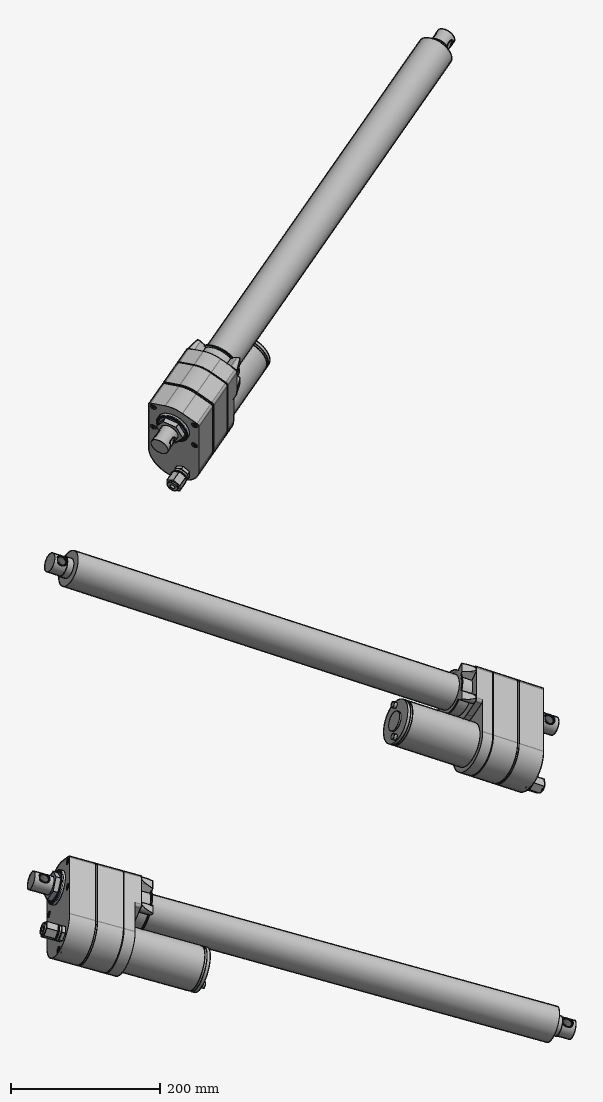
import cadquery as cq
import math

LENGTH = 790.5
REAR_REACH = 39.5
FRONT_TIP = LENGTH - REAR_REACH

HALF_WIDTH = 39.0
MOTOR_DROP = 74.0
HOUSING_LENGTH = 96.0
NOSE_END = 105.0
CROWN_SLOPE = 20.0
SHOULDER_RADIUS = 5.0
SEAM_DEPTH = 1.0
SEAMS = ((39.5, 2.0), (79.0, 1.0))

SCREW_X = 32.0
SCREW_Z = 22.0
SCREW_RECESS_DIAMETER = 9.0
SCREW_RECESS_DEPTH = 4.0
SCREW_GAP = 1.0
SCREW_SOCKET_DIAMETER = 2.7
SCREW_SOCKET_DEPTH = 2.0
LOWER_SCREW_Z = -107.5
SCREW_PLACES = (
    (-SCREW_X, SCREW_Z),
    (SCREW_X, SCREW_Z),
    (-SCREW_X, -SCREW_Z),
    (SCREW_X, -SCREW_Z),
    (0, LOWER_SCREW_Z),
)

COLLAR_END = 124.0
COLLAR_DIAMETER = 57.0
COLLAR_RIM_DIAMETER = 63.0
COLLAR_RIM_THICKNESS = 1.5
LUG_RADIUS = 6.0
LUG_BACK_HALF_WIDTH = 38.0
LUG_FRONT_HALF_WIDTH = 32.5
TUBE_DIAMETER = 50.5
TUBE_END = 722.0

MOTOR_DIAMETER = 63.0
MOTOR_END = 209.0
MOTOR_GROOVE_Y = 201.0
MOTOR_GROOVE_WIDTH = 3.0
MOTOR_GROOVE_DEPTH = 1.0
MOTOR_BOSS_DIAMETER = 28.5
MOTOR_BOSS_HEIGHT = 2.0
MOTOR_SCREW_DIAMETER = 9.0
MOTOR_SCREW_HEIGHT = 5.0
MOTOR_SCREW_OFFSET = 25.0

FLANGE_DIAMETER = 48.0
FLANGE_THICKNESS = 5.0
FLANGE_GROOVE_DIAMETER = 45.0
FLANGE_GROOVE_WIDTH = 1.5
FLANGE_GROOVE_DEPTH = 2.0
NUT_ACROSS_FLATS = 35.0
NUT_END = 12.0
REAR_EYE_DIAMETER = 26.0
REAR_EYE_HOLE_Y = -25.0
EYE_HOLE_DIAMETER = 13.0
EYE_SEAT_DIAMETER = 16.0
EYE_SEAT_DEPTH = 2.0

CONNECTOR_X = 14.0
CONNECTOR_Z = -92.0
CONNECTOR_CORE_DIAMETER = 16.0
CONNECTOR_RING_DIAMETER = 21.0
CONNECTOR_HEX_DIAMETER = 23.0
CONNECTOR_NUT_END = 5.0
CONNECTOR_RING_START = 5.5
CONNECTOR_RING_END = 9.0
CONNECTOR_BODY_START = 10.0
CONNECTOR_BODY_END = 27.0
CONNECTOR_END = 29.0
CONNECTOR_BORE_DIAMETER = 7.0
CONNECTOR_BORE_DEPTH = 8.0

ROD_DIAMETER = 28.5
ROD_COLLAR_END = 731.0
ROD_INSERTION = 39.5
ROD_EYE_DIAMETER = 27.0
ROD_EYE_HOLE_Y = 739.0

HEX_HALF_ANGLE = 30


def section_at(y):
    """Workplane across the actuator at y, with X to the right and Z up."""
    return cq.Workplane("XZ", origin=(0, y, 0))


def cylinder(x, z, diameter, y_start, y_end):
    """Cylinder along Y between two places."""
    return section_at(y_start).center(x, z).circle(diameter / 2).extrude(y_start - y_end)


def tube_ring(x, z, outer_diameter, wall, y_start, y_end):
    """Cylinder along Y with a round opening that leaves the given wall."""
    outer = cylinder(x, z, outer_diameter, y_start, y_end)
    return outer.cut(cylinder(x, z, outer_diameter - 2 * wall, y_start, y_end))


def hexagon(x, z, corner_diameter, y_start, y_end, turn=0):
    """Hexagonal prism along Y; with no turn its corners point to -X and +X."""
    sketch = section_at(y_start).center(x, z).transformed(rotate=(0, 0, turn))
    return sketch.polygon(6, corner_diameter).extrude(y_start - y_end)


def polar(centre, radius, degrees):
    """Point (x, z) at an angle measured from +X."""
    angle = math.radians(degrees)
    return (centre[0] + radius * math.cos(angle), centre[1] + radius * math.sin(angle))


def mirrored(point, x_sign, z_sign):
    return (x_sign * point[0], z_sign * point[1])


FLAT_NORMAL = 90 - CROWN_SLOPE
CROWN_END = polar((0, 0), HALF_WIDTH, FLAT_NORMAL)
CORNER_Z = CROWN_END[1] - (HALF_WIDTH - CROWN_END[0]) * math.tan(math.radians(CROWN_SLOPE))
SHOULDER_CENTRE = (
    HALF_WIDTH - SHOULDER_RADIUS,
    CORNER_Z - SHOULDER_RADIUS * math.tan(math.radians(FLAT_NORMAL / 2)),
)
SHOULDER_TOP = polar(SHOULDER_CENTRE, SHOULDER_RADIUS, FLAT_NORMAL)
SHOULDER_MIDDLE = polar(SHOULDER_CENTRE, SHOULDER_RADIUS, FLAT_NORMAL / 2)
SIDE_TOP = polar(SHOULDER_CENTRE, SHOULDER_RADIUS, 0)


def crown(sketch, x_sign, z_sign):
    """Continue an outline from one upright side over the crown to the other side.

    x_sign is the side where the crown starts; z_sign is +1 above the tube axis and -1 below it.
    """
    return (
        sketch.threePointArc(
            mirrored(SHOULDER_MIDDLE, x_sign, z_sign), mirrored(SHOULDER_TOP, x_sign, z_sign)
        )
        .lineTo(*mirrored(CROWN_END, x_sign, z_sign))
        .threePointArc((0, z_sign * HALF_WIDTH), mirrored(CROWN_END, -x_sign, z_sign))
        .lineTo(*mirrored(SHOULDER_TOP, -x_sign, z_sign))
        .threePointArc(
            mirrored(SHOULDER_MIDDLE, -x_sign, z_sign), mirrored(SIDE_TOP, -x_sign, z_sign)
        )
    )


def housing_outline(y):
    """Crown at the top, straight sides and a half round about the motor axis."""
    sketch = section_at(y).moveTo(*SIDE_TOP)
    return (
        crown(sketch, 1, 1)
        .lineTo(-HALF_WIDTH, -MOTOR_DROP)
        .threePointArc((0, -MOTOR_DROP - HALF_WIDTH), (HALF_WIDTH, -MOTOR_DROP))
        .close()
    )


def nose_prism(y_start, y_end):
    """Prism around the tube whose outline has a crown above and the same one below."""
    sketch = crown(section_at(y_start).moveTo(*SIDE_TOP), 1, 1)
    sketch = sketch.lineTo(*mirrored(SIDE_TOP, -1, -1))
    return crown(sketch, -1, -1).close().extrude(y_start - y_end)


def gear_housing():
    housing = housing_outline(0).extrude(-HOUSING_LENGTH)
    for centre, width in SEAMS:
        start = centre - width / 2
        band = housing_outline(start).extrude(-width)
        core = housing_outline(start).offset2D(-SEAM_DEPTH).extrude(-width)
        housing = housing.cut(band.cut(core))
    return housing.union(nose_prism(HOUSING_LENGTH, NOSE_END))


def screw_recess(x, z):
    """Ring gap around a housing screw head that lies flush with the rear face, and its socket."""
    gap = tube_ring(x, z, SCREW_RECESS_DIAMETER, SCREW_GAP, 0, SCREW_RECESS_DEPTH)
    return gap.union(cylinder(x, z, SCREW_SOCKET_DIAMETER, 0, SCREW_SOCKET_DEPTH))


def screw_lugs():
    """Four lugs from the collar to the screws, narrowing toward the front."""
    length = COLLAR_END - NOSE_END
    screw_radius = math.hypot(SCREW_X, SCREW_Z)
    screw_angle = math.degrees(math.atan2(SCREW_Z, SCREW_X))
    arm_length = 2 * (screw_radius + LUG_RADIUS)
    sketch = section_at(NOSE_END).transformed(rotate=(0, 0, screw_angle))
    arms = sketch.slot2D(arm_length, 2 * LUG_RADIUS).extrude(-length)
    arms = arms.union(arms.mirror("YZ"))
    taper = (
        cq.Workplane("XY")
        .polyline(
            [
                (-LUG_BACK_HALF_WIDTH, NOSE_END),
                (LUG_BACK_HALF_WIDTH, NOSE_END),
                (LUG_FRONT_HALF_WIDTH, COLLAR_END),
                (-LUG_FRONT_HALF_WIDTH, COLLAR_END),
            ]
        )
        .close()
        .extrude(HALF_WIDTH, both=True)
    )
    return arms.intersect(taper).intersect(nose_prism(NOSE_END, COLLAR_END))


def collar():
    rim_start = COLLAR_END - COLLAR_RIM_THICKNESS
    core = cylinder(0, 0, COLLAR_DIAMETER, NOSE_END, COLLAR_END)
    rim = cylinder(0, 0, COLLAR_RIM_DIAMETER, rim_start, COLLAR_END)
    return core.union(rim).union(screw_lugs())


def motor():
    z = -MOTOR_DROP
    body = cylinder(0, z, MOTOR_DIAMETER, HOUSING_LENGTH, MOTOR_END)
    groove_end = MOTOR_GROOVE_Y + MOTOR_GROOVE_WIDTH
    body = body.cut(
        tube_ring(0, z, MOTOR_DIAMETER, MOTOR_GROOVE_DEPTH, MOTOR_GROOVE_Y, groove_end)
    )
    boss_end = MOTOR_END + MOTOR_BOSS_HEIGHT
    body = body.union(cylinder(0, z, MOTOR_BOSS_DIAMETER, MOTOR_END, boss_end))
    head_end = MOTOR_END + MOTOR_SCREW_HEIGHT
    for offset in (-MOTOR_SCREW_OFFSET, MOTOR_SCREW_OFFSET):
        body = body.union(cylinder(0, z + offset, MOTOR_SCREW_DIAMETER, MOTOR_END, head_end))
    return body


def mounting_eye(diameter, y_start, y_end, hole_y):
    """Round eye on the tube axis with a hole along X and a seat around each mouth of the hole."""
    side = cq.Workplane("YZ").center(hole_y, 0)
    hole = side.circle(EYE_HOLE_DIAMETER / 2).extrude(diameter, both=True)
    seats = side.circle(EYE_SEAT_DIAMETER / 2).extrude(diameter, both=True)
    web = side.circle(EYE_SEAT_DIAMETER / 2).extrude(diameter / 2 - EYE_SEAT_DEPTH, both=True)
    return cylinder(0, 0, diameter, y_start, y_end).cut(seats.cut(web)).cut(hole)


def rear_mount():
    """Flange, nut and eye behind the housing."""
    nut_corners = NUT_ACROSS_FLATS / math.cos(math.radians(HEX_HALF_ANGLE))
    flange = cylinder(0, 0, FLANGE_DIAMETER, -FLANGE_THICKNESS, 0)
    groove_start = -FLANGE_THICKNESS
    groove_end = groove_start + FLANGE_GROOVE_DEPTH
    ring_groove = tube_ring(0, 0, FLANGE_GROOVE_DIAMETER, FLANGE_GROOVE_WIDTH, groove_start, groove_end)
    nut = hexagon(0, 0, nut_corners, -NUT_END, -FLANGE_THICKNESS)
    eye = mounting_eye(REAR_EYE_DIAMETER, -REAR_REACH, -NUT_END, REAR_EYE_HOLE_Y)
    return flange.cut(ring_groove).union(nut).union(eye)


def cable_connector():
    """Round core carrying a hexagonal nut, a ring and a hexagonal body."""
    place = (CONNECTOR_X, CONNECTOR_Z)
    hex_size = CONNECTOR_HEX_DIAMETER
    core = cylinder(*place, CONNECTOR_CORE_DIAMETER, -CONNECTOR_END, 0)
    nut = hexagon(*place, hex_size, -CONNECTOR_NUT_END, 0, turn=HEX_HALF_ANGLE)
    ring = cylinder(*place, CONNECTOR_RING_DIAMETER, -CONNECTOR_RING_END, -CONNECTOR_RING_START)
    body = hexagon(*place, hex_size, -CONNECTOR_BODY_END, -CONNECTOR_BODY_START, turn=HEX_HALF_ANGLE)
    bore_end = CONNECTOR_BORE_DEPTH - CONNECTOR_END
    bore = cylinder(*place, CONNECTOR_BORE_DIAMETER, -CONNECTOR_END, bore_end)
    return core.union(nut).union(ring).union(body).cut(bore)


def actuator_body():
    tube = cylinder(0, 0, TUBE_DIAMETER, COLLAR_END, TUBE_END)
    body = gear_housing()
    for x, z in SCREW_PLACES:
        body = body.cut(screw_recess(x, z))
    for part in (collar(), tube, motor(), rear_mount(), cable_connector()):
        body = body.union(part)
    return body.cut(cylinder(0, 0, ROD_DIAMETER, TUBE_END - ROD_INSERTION, TUBE_END))


def extension_rod():
    """Rod that fits the tube bore, with an eye at its tip."""
    shank = cylinder(0, 0, ROD_DIAMETER, TUBE_END - ROD_INSERTION, ROD_COLLAR_END)
    eye = mounting_eye(ROD_EYE_DIAMETER, ROD_COLLAR_END, FRONT_TIP, ROD_EYE_HOLE_Y)
    return shank.union(eye)


actuator = actuator_body()
rod = extension_rod()

result = cq.Compound.makeCompound([actuator.val(), rod.val()])